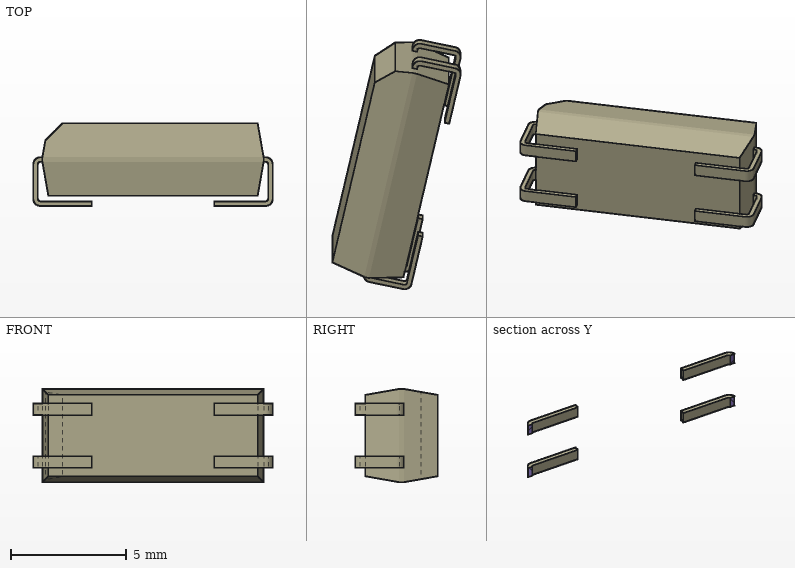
import cadquery as cq
import math

overall_length = 10.41

lead_thickness = 0.21
lead_width = 0.51
lead_pitch = 2.29
lead_reach = 0.4
lead_height = 2.12
foot_length = 2.55
bend_outer_radius = 0.31
bend_inner_radius = bend_outer_radius - lead_thickness

housing_length = overall_length - 2 * lead_reach
housing_width = 4.06
band_height = lead_thickness
half_shell_height = 1.48
draft_angle = 10.0
corner_cut_height = 0.75
corner_cut_run = corner_cut_height

band_top = band_height / 2
housing_top = band_top + half_shell_height


def draft_inset(height):
    """Inward shift of a drafted wall at a height above the parting band."""
    return height * math.tan(math.radians(draft_angle))


def make_half_shell(direction):
    """Tapered half of the housing, growing from the band towards +Y (1) or -Y (-1)."""
    plane = cq.Plane(origin=(0, direction * band_top, 0), xDir=(1, 0, 0), normal=(0, direction, 0))
    return (
        cq.Workplane(plane)
        .rect(housing_length, housing_width)
        .extrude(half_shell_height, taper=draft_angle)
    )


def make_corner_cutter():
    """Wedge that removes the upper edge of the -X end."""
    cut_base = housing_top - corner_cut_height
    wall_x = -housing_length / 2 + draft_inset(half_shell_height - corner_cut_height)
    outside_x = -overall_length / 2
    slope = corner_cut_height / corner_cut_run
    return (
        cq.Workplane("XY")
        .moveTo(wall_x + corner_cut_run, housing_top)
        .lineTo(outside_x, housing_top)
        .lineTo(outside_x, cut_base - slope * (wall_x - outside_x))
        .close()
        .extrude(housing_width / 2, both=True)
    )


def make_housing():
    """Band and two drafted half shells, with the end-marking corner cut."""
    band = cq.Workplane("XY").box(housing_length, band_height, housing_width)
    body = band.union(make_half_shell(1)).union(make_half_shell(-1))
    return body.cut(make_corner_cutter())


def make_lead(side, z_center):
    """C-shaped lead at the -X end (side = -1) or the +X end (side = 1)."""
    top = band_top
    bottom = top - lead_height
    outer = -overall_length / 2
    inner = outer + lead_thickness
    root = -housing_length / 2
    toe = outer + foot_length
    outer_diagonal = bend_outer_radius * (1 - math.sqrt(0.5))
    inner_diagonal = bend_inner_radius * (1 - math.sqrt(0.5))
    inner_top = top - lead_thickness
    inner_bottom = bottom + lead_thickness
    lead = (
        cq.Workplane("XY", origin=(0, 0, z_center))
        .moveTo(root, top)
        .lineTo(outer + bend_outer_radius, top)
        .threePointArc((outer + outer_diagonal, top - outer_diagonal), (outer, top - bend_outer_radius))
        .lineTo(outer, bottom + bend_outer_radius)
        .threePointArc((outer + outer_diagonal, bottom + outer_diagonal), (outer + bend_outer_radius, bottom))
        .lineTo(toe, bottom)
        .lineTo(toe, inner_bottom)
        .lineTo(inner + bend_inner_radius, inner_bottom)
        .threePointArc(
            (inner + inner_diagonal, inner_bottom + inner_diagonal),
            (inner, inner_bottom + bend_inner_radius),
        )
        .lineTo(inner, inner_top - bend_inner_radius)
        .threePointArc(
            (inner + inner_diagonal, inner_top - inner_diagonal),
            (inner + bend_inner_radius, inner_top),
        )
        .lineTo(root, inner_top)
        .close()
        .extrude(lead_width / 2, both=True)
    )
    return lead if side < 0 else lead.mirror("YZ")


housing = make_housing()
leads = [
    make_lead(side, row * lead_pitch / 2)
    for side in (-1, 1)
    for row in (-1, 1)
]

result = cq.Compound.makeCompound([housing.val(), *[lead.val() for lead in leads]])